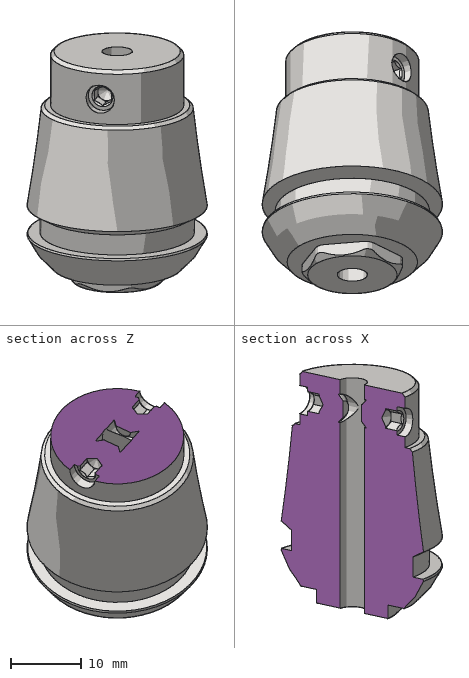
import cadquery as cq
import math

total_height = 34.0
body_bottom = 2.0
lower_cone_radius = 9.28
lower_cone_knee_radius = 11.35
lower_cone_knee_height = 4.18
lip_radius = 12.85
lip_bottom = 6.73
lip_top = 7.05
lip_top_radius = 12.75
groove_radius = 22.0 / 2
groove_top = 10.03
skirt_bottom = 11.1
skirt_top = 25.57
skirt_top_radius = 10.85
skirt_side_bow = 0.1
shoulder_height = 26.0
shoulder_chamfer = 0.5
neck_radius = 19.0 / 2
neck_chamfer = 0.5
bore_diameter = 4.3

hex_across_flats = 13.0
hex_corner_radius = 1.63
hex_end_radius = 6.35
hex_cone_height = 1.0
hex_cone_radius = hex_end_radius + hex_cone_height

screw_height = 29.68
screw_hole_radius = 4.15 / 2
screw_recess = 1.43
screw_outer_face = neck_radius - screw_recess
screw_tip_face = 1.6
screw_tip_radius = 1.22
screw_tip_length = screw_hole_radius - screw_tip_radius
socket_across_flats = 2.48
socket_depth = 2.05
socket_mouth_radius = 1.53
socket_cone_angle = 120.0


def hexagon_diameter(across_flats):
    """Corner-to-corner size of a regular hexagon."""
    return across_flats / math.cos(math.radians(30))


def make_body():
    skirt_middle_radius = (lip_radius + skirt_top_radius) / 2 - skirt_side_bow
    skirt_middle_height = (skirt_bottom + skirt_top) / 2
    return (
        cq.Workplane("XZ")
        .moveTo(0, body_bottom)
        .lineTo(lower_cone_radius, body_bottom)
        .lineTo(lower_cone_knee_radius, lower_cone_knee_height)
        .lineTo(lip_radius, lip_bottom)
        .lineTo(lip_top_radius, lip_top)
        .lineTo(groove_radius, lip_top)
        .lineTo(groove_radius, groove_top)
        .lineTo(lip_radius, skirt_bottom)
        .threePointArc((skirt_middle_radius, skirt_middle_height), (skirt_top_radius, skirt_top))
        .lineTo(skirt_top_radius - shoulder_chamfer, shoulder_height)
        .lineTo(neck_radius, shoulder_height)
        .lineTo(neck_radius, total_height - neck_chamfer)
        .lineTo(neck_radius - neck_chamfer, total_height)
        .lineTo(0, total_height)
        .close()
        .revolve(360, (0, 0), (0, 1))
    )


def make_hex_end():
    prism = (
        cq.Workplane("XY")
        .polygon(6, hexagon_diameter(hex_across_flats))
        .extrude(body_bottom)
        .edges("|Z")
        .fillet(hex_corner_radius)
    )
    lead_in = (
        cq.Workplane("XZ")
        .lineTo(hex_end_radius, 0)
        .lineTo(hex_cone_radius, hex_cone_height)
        .lineTo(hex_cone_radius, body_bottom)
        .lineTo(0, body_bottom)
        .close()
        .revolve(360, (0, 0), (0, 1))
    )
    return prism.intersect(lead_in)


def make_screw():
    """Set screw along +Z: truncated-cone tip inside, hexagon socket outside."""
    screw = (
        cq.Workplane("XZ")
        .moveTo(0, screw_tip_face)
        .lineTo(screw_tip_radius, screw_tip_face)
        .lineTo(screw_hole_radius, screw_tip_face + screw_tip_length)
        .lineTo(screw_hole_radius, screw_outer_face)
        .lineTo(0, screw_outer_face)
        .close()
        .revolve(360, (0, 0), (0, 1))
    )
    socket_floor = screw_outer_face - socket_depth
    socket = (
        cq.Workplane("XY", origin=(0, 0, socket_floor))
        .transformed(rotate=(0, 0, 30))
        .polygon(6, hexagon_diameter(socket_across_flats))
        .extrude(socket_depth)
    )
    drill_radius = socket_across_flats / 2
    drill_point = drill_radius / math.tan(math.radians(socket_cone_angle / 2))
    mouth_depth = socket_mouth_radius - drill_radius
    drilled = (
        cq.Workplane("XZ")
        .moveTo(0, socket_floor - drill_point)
        .lineTo(drill_radius, socket_floor)
        .lineTo(drill_radius, screw_outer_face - mouth_depth)
        .lineTo(socket_mouth_radius, screw_outer_face)
        .lineTo(0, screw_outer_face)
        .close()
        .revolve(360, (0, 0), (0, 1))
    )
    return screw.cut(socket).cut(drilled)


def make_screw_holes():
    return (
        cq.Workplane("XZ", origin=(0, 0, screw_height))
        .circle(screw_hole_radius)
        .extrude(neck_radius, both=True)
    )


bore = cq.Workplane("XY").circle(bore_diameter / 2).extrude(total_height)
result = make_body().union(make_hex_end()).cut(bore).cut(make_screw_holes())

for tilt in (90, -90):
    screw = make_screw().rotate((0, 0, 0), (1, 0, 0), tilt)
    result = result.union(screw.translate((0, 0, screw_height)))